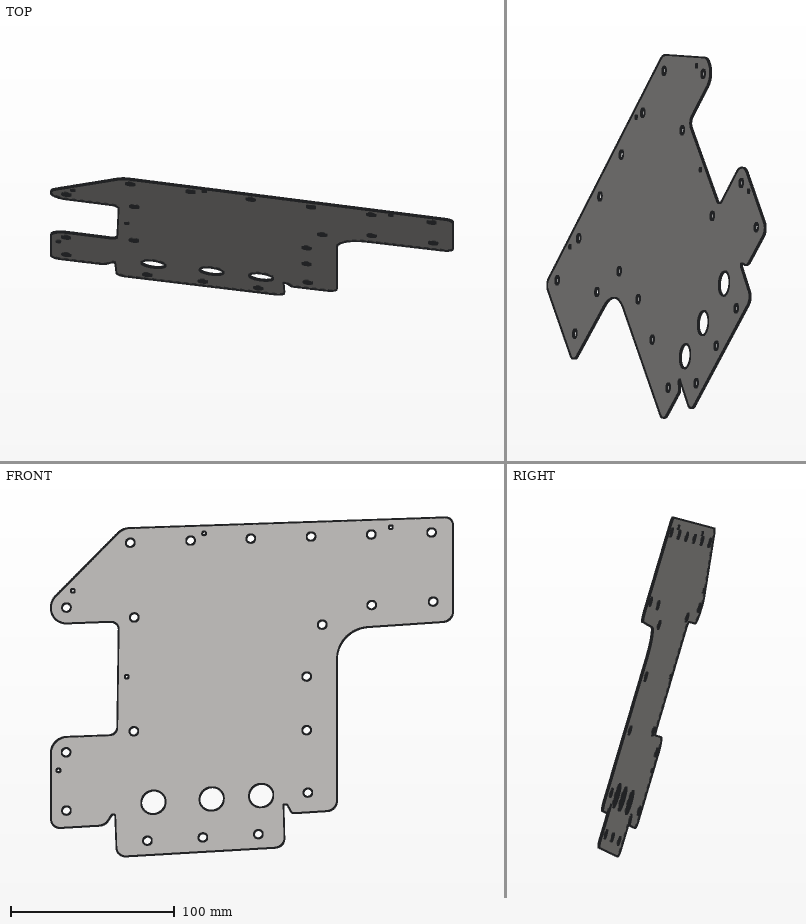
import cadquery as cq
import math

thickness = 1.0
yaw = 7.5
lean = 16.5

plate_width = 247.8
top_left = 207.5
top_right = 206.7
top_arm_bottom = 148.2
lower_arm_top = 76.0
neck_top_side = 41.8
neck_bottom_side = 40.8
body_side = 176.3

end_radius = 9.8
corner_radius = 6.0
right_radius = 6.5
inner_radius = 5.0
elbow_radius = 19.7
left_notch_radius = 7.0
right_notch_radius = 2.5
notch_top_radius = 1.0
notch_side_radius = 0.5

screw_diameter = 5.5
pin_diameter = 2.5
port_diameter = 15.0
top_row_pitch = 37.0
top_row_slope = -0.2
foot_row_pitch = 34.2
foot_row_slope = 1.3

outline = [
    (44.2, top_left, end_radius),
    (plate_width, top_right, inner_radius),
    (plate_width, 140.4, right_radius),
    (body_side, 138.2, elbow_radius),
    (body_side, 22.5, right_radius),
    (148.5, 22.0, right_notch_radius),
    (145.5, 27.5, notch_top_radius),
    (143.3, 27.8, notch_side_radius),
    (144.0, 0.5, corner_radius),
    (40.5, -1.7, corner_radius),
    (39.5, 25.5, notch_top_radius),
    (37.5, 25.3, notch_top_radius),
    (33.5, 18.7, left_notch_radius),
    (0, 18.0, corner_radius),
    (0, lower_arm_top, end_radius),
    (neck_bottom_side, lower_arm_top, inner_radius),
    (neck_top_side, top_arm_bottom, inner_radius),
    (0, top_arm_bottom, end_radius),
    (0, 163.0, end_radius),
]


def toward(start, end, distance):
    """Point at the given distance from start on the way to end."""
    length = math.dist(start, end)
    return tuple(a + (b - a) * distance / length for a, b in zip(start, end))


def rounded_outline(corners):
    """Closed wire through the corners, each rounded by a tangent arc of its own radius."""
    wire = cq.Workplane("XZ")
    for i, (u, v, radius) in enumerate(corners):
        corner = (u, v)
        before = corners[i - 1][:2]
        after = corners[(i + 1) % len(corners)][:2]
        heading_in = math.atan2(before[1] - v, before[0] - u)
        heading_out = math.atan2(after[1] - v, after[0] - u)
        half_angle = abs(math.remainder(heading_out - heading_in, math.tau)) / 2
        setback = radius / math.tan(half_angle)
        arc_start = toward(corner, before, setback)
        arc_end = toward(corner, after, setback)
        chord_middle = tuple((a + b) / 2 for a, b in zip(arc_start, arc_end))
        arc_middle = toward(corner, chord_middle, radius / math.sin(half_angle) - radius)
        if i == 0:
            wire = wire.moveTo(*arc_start)
        else:
            wire = wire.lineTo(*arc_start)
        wire = wire.threePointArc(arc_middle, arc_end)
    return wire.close()


def row(start, pitch, count, slope):
    """Evenly pitched points along a line rising at the given slope in degrees."""
    rise = math.radians(slope)
    return [
        (start[0] + i * pitch * math.cos(rise), start[1] + i * pitch * math.sin(rise))
        for i in range(count)
    ]


def drill(plate, points, diameter):
    """Cut round through-holes at the given points."""
    cutter = cq.Workplane("XZ").pushPoints(points).circle(diameter / 2).extrude(thickness)
    return plate.cut(cutter)


top_screws = row((49.0, 198.1), top_row_pitch, 6, top_row_slope)
foot_screws = row((59.5, 7.9), foot_row_pitch, 3, foot_row_slope)
left_screws = [(9.5, 158.3), (51.4, 150.5), (51.1, 78.0), (9.3, 66.1), (9.5, 29.0)]
right_screws = [(235.5, 153.5), (197.6, 152.7), (167.2, 141.3), (157.5, 108.7), (157.5, 74.5), (158.3, 34.7)]
screws = top_screws + foot_screws + left_screws + right_screws
pins = [(209.5, 201.8), (94.5, 202.3), (13.5, 169.0), (46.7, 112.8), (4.7, 54.8)]
ports = [(63.2, 32.2), (99.0, 33.0), (129.5, 34.0)]

plate = rounded_outline(outline).extrude(thickness)
plate = drill(plate, screws, screw_diameter)
plate = drill(plate, pins, pin_diameter)
plate = drill(plate, ports, port_diameter)

turned = plate.rotate((0, 0, 0), (0, 0, 1), -yaw)
result = turned.rotate((0, 0, 0), (1, 0, 0), -lean)